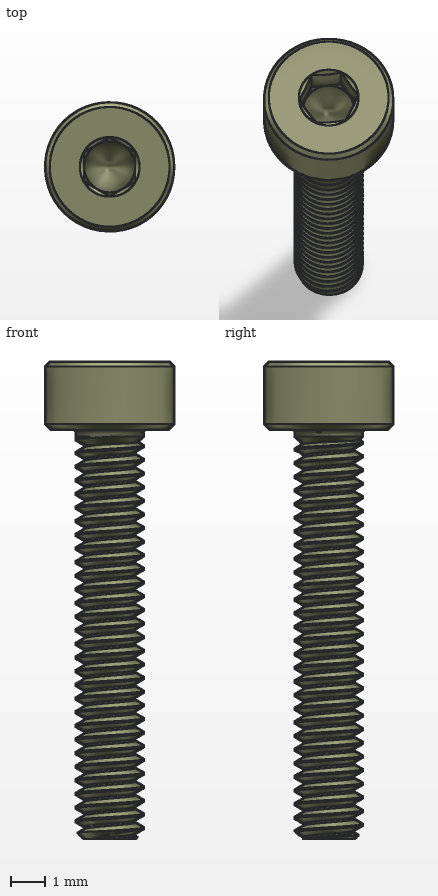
import cadquery as cq
import math


overall_length = 14.0
thread_diameter = overall_length / 7
head_height = thread_diameter
shank_length = overall_length - head_height
thread_radius = thread_diameter / 2

head_radius = 3.8 / 2
head_top_chamfer = 0.14
head_bottom_chamfer = 0.17
underhead_fillet = 0.07

socket_across_flats = 1.5
socket_mouth_diameter = 1.75
socket_mouth_angle = 120.0
socket_depth = 1.0
drill_point_angle = 120.0

pitch = thread_diameter / 5
flank_angle = 30.0
crest_flat = pitch / 8
root_flat = pitch / 6
neck_length = 0.2
tip_chamfer = 0.24
first_groove_z = -0.28

flank_slope = math.tan(math.radians(flank_angle))
groove_depth = (pitch - crest_flat - root_flat) / 2 / flank_slope
core_radius = thread_radius - groove_depth


def make_head():
    head = cq.Workplane("XY").circle(head_radius).extrude(head_height)
    head = head.faces(">Z").edges().chamfer(head_top_chamfer)
    return head.faces("<Z").edges().chamfer(head_bottom_chamfer)


def downward_cone(radius, full_angle, base_z):
    """Solid cone with its base at base_z and its apex below, on the Z axis."""
    height = radius / math.tan(math.radians(full_angle / 2))
    return cq.Workplane(cq.Solid.makeCone(0, radius, height, cq.Vector(0, 0, base_z - height)))


def make_socket():
    """Hexagon hole with two corners on the Y axis."""
    across_corners = socket_across_flats / math.cos(math.pi / 6)
    hexagon = (
        cq.Workplane("XY", origin=(0, 0, head_height))
        .transformed(rotate=(0, 0, 90))
        .polygon(6, across_corners)
        .extrude(-socket_depth)
    )
    mouth_cone = downward_cone(socket_mouth_diameter / 2, socket_mouth_angle, head_height)
    drill_point = downward_cone(socket_across_flats / 2, drill_point_angle, head_height - socket_depth)
    return hexagon.union(mouth_cone).union(drill_point)


def make_neck():
    """Plain neck flaring into the head and tapering at 45 degrees down to the thread core."""
    neck_end = -neck_length
    arc_middle = underhead_fillet * (1 - math.sqrt(0.5))
    return (
        cq.Workplane("XZ")
        .moveTo(0, 0)
        .lineTo(thread_radius + underhead_fillet, 0)
        .threePointArc(
            (thread_radius + arc_middle, -arc_middle),
            (thread_radius, -underhead_fillet),
        )
        .lineTo(thread_radius, neck_end)
        .lineTo(core_radius, neck_end - groove_depth)
        .lineTo(0, neck_end - groove_depth)
        .close()
        .revolve(360, (0, 0), (0, 1))
    )


def make_groove_cutter():
    """Right-hand helical groove running past both ends of the shank."""
    overshoot = 0.01
    turns_below = math.ceil(shank_length / pitch) + 1
    start_z = first_groove_z - turns_below * pitch
    half_root = root_flat / 2
    half_mouth = half_root + (groove_depth + overshoot) * flank_slope
    helix = cq.Wire.makeHelix(pitch, (turns_below + 1) * pitch, thread_radius)
    cutter = (
        cq.Workplane("XZ")
        .moveTo(core_radius, -half_root)
        .lineTo(thread_radius + overshoot, -half_mouth)
        .lineTo(thread_radius + overshoot, half_mouth)
        .lineTo(core_radius, half_root)
        .close()
        .sweep(cq.Workplane(helix), isFrenet=True)
    )
    return cutter.translate((0, 0, start_z))


def make_shank():
    """Overlong threaded rod trimmed to length with a chamfered tip."""
    rod_overrun = 1.4
    clearance = 0.07
    rod = (
        cq.Workplane("XY", origin=(0, 0, rod_overrun))
        .circle(thread_radius)
        .extrude(-shank_length - 2 * rod_overrun)
        .cut(make_groove_cutter())
    )
    envelope = (
        cq.Workplane("XY")
        .circle(thread_radius + clearance)
        .extrude(-shank_length)
        .faces("<Z")
        .edges()
        .chamfer(tip_chamfer + clearance)
    )
    return rod.intersect(envelope)


result = make_shank().union(make_neck()).union(make_head()).cut(make_socket())